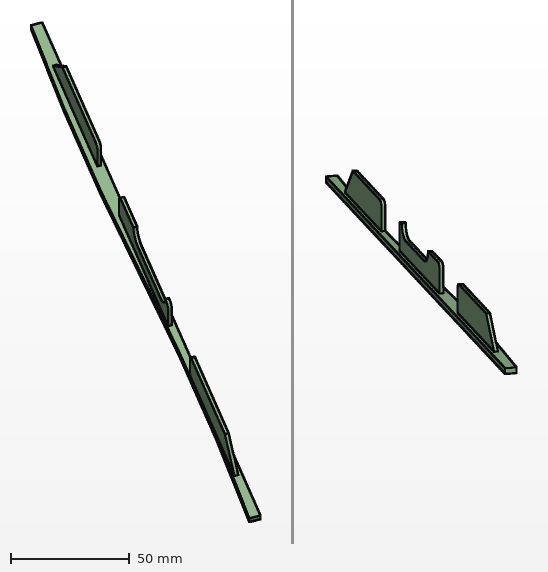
import cadquery as cq

length = 286.5
end_width = 5.0
wave_height = 1.58
base_thickness = 2.5

total_height = 15.8
rib_thickness = 1.7
rib_setback = 1.7
corner_radius = 2.5

outer_foot_x = 119.2
outer_slope_top_x = 106.5
outer_inner_x = 60.7

middle_half_length = 32.0
notch_left_x = -13.5
notch_right_x = 28.0
notch_depth = 6.0

half_length = length / 2
back_y = (end_width + wave_height) / 2
middle_front_y = back_y - end_width


def make_base():
    """Strip whose front edge bulges on the left and hollows on the right."""
    quarter = length / 4
    return (
        cq.Workplane("XY")
        .moveTo(-half_length, back_y)
        .lineTo(-half_length, middle_front_y)
        .threePointArc((-quarter, middle_front_y - wave_height), (0, middle_front_y))
        .threePointArc((quarter, middle_front_y + wave_height), (half_length, middle_front_y))
        .lineTo(half_length, back_y)
        .close()
        .extrude(base_thickness)
    )


def rib_plane():
    """Plane of the rear rib faces; extruding goes toward the front."""
    return cq.Workplane("XZ", origin=(0, back_y - rib_setback, 0))


def make_left_rib():
    """Rib with a sloped outer end and a rounded inner top corner."""
    return (
        rib_plane()
        .moveTo(-outer_foot_x, base_thickness)
        .lineTo(-outer_slope_top_x, total_height)
        .lineTo(-outer_inner_x - corner_radius, total_height)
        .radiusArc((-outer_inner_x, total_height - corner_radius), corner_radius)
        .lineTo(-outer_inner_x, base_thickness)
        .close()
        .extrude(rib_thickness)
    )


def make_middle_rib():
    """Rib with rounded outer corners and a notch with quarter-round ends."""
    shoulder_z = total_height - corner_radius
    notch_floor_z = total_height - notch_depth
    return (
        rib_plane()
        .moveTo(-middle_half_length, base_thickness)
        .lineTo(-middle_half_length, shoulder_z)
        .radiusArc((-middle_half_length + corner_radius, total_height), corner_radius)
        .lineTo(notch_left_x, total_height)
        .radiusArc((notch_left_x + notch_depth, notch_floor_z), -notch_depth)
        .lineTo(notch_right_x - notch_depth, notch_floor_z)
        .radiusArc((notch_right_x, total_height), -notch_depth)
        .lineTo(middle_half_length - corner_radius, total_height)
        .radiusArc((middle_half_length, shoulder_z), corner_radius)
        .lineTo(middle_half_length, base_thickness)
        .close()
        .extrude(rib_thickness)
    )


left_rib = make_left_rib()
right_rib = left_rib.mirror("YZ")
result = make_base().union(left_rib).union(make_middle_rib()).union(right_rib)